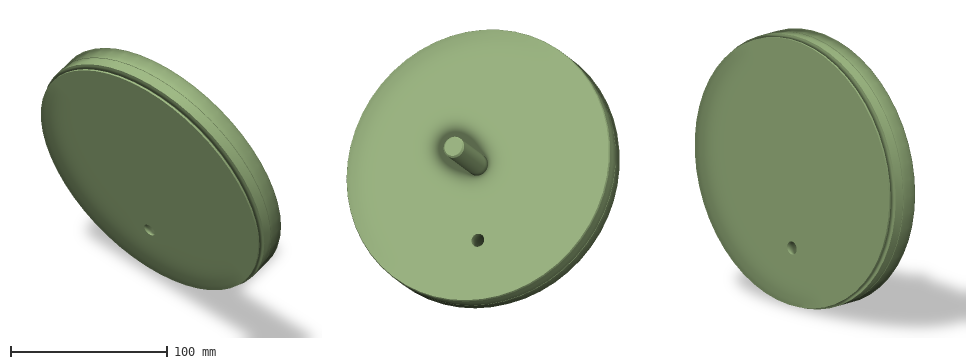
import cadquery as cq

disc_diameter = 180.0
lip_diameter = 177.0
neck_diameter = 168.5
lip_thickness = 1.3
body_front = 4.3
groove_front = 11.0
groove_width = 0.5
groove_depth = 0.4
disc_thickness = 22.3
back_chamfer_length = 1.0
back_chamfer_depth = 0.5

pin_diameter = 14.0
total_length = 67.0
pin_chamfer = 1.0

hole_diameter = 8.6
hole_drop = 50.0

disc_radius = disc_diameter / 2
lip_radius = lip_diameter / 2
groove_radius = disc_radius - groove_depth
groove_back = groove_front + groove_width


def make_disc():
    """Revolve the rim profile: lip, undercut cone, grooved body and back chamfer."""
    profile = [
        (0, 0),
        (lip_radius, 0),
        (lip_radius, lip_thickness),
        (neck_diameter / 2, body_front),
        (disc_radius, body_front),
        (disc_radius, groove_front),
        (groove_radius, groove_front),
        (groove_radius, groove_back),
        (disc_radius, groove_back),
        (disc_radius, disc_thickness - back_chamfer_length),
        (disc_radius - back_chamfer_depth, disc_thickness),
        (0, disc_thickness),
    ]
    return cq.Workplane("XY").polyline(profile).close().revolve(360, (0, 0, 0), (0, 1, 0))


def make_pin():
    """Central pin behind the disc, chamfered at its free end."""
    return (
        cq.Workplane("XZ", origin=(0, disc_thickness, 0))
        .circle(pin_diameter / 2)
        .extrude(disc_thickness - total_length)
        .faces(">Y")
        .chamfer(pin_chamfer)
    )


def make_hole():
    """Cutter for the hole through the full disc thickness."""
    return (
        cq.Workplane("XZ", origin=(0, 0, -hole_drop))
        .circle(hole_diameter / 2)
        .extrude(-disc_thickness)
    )


result = make_disc().union(make_pin()).cut(make_hole())